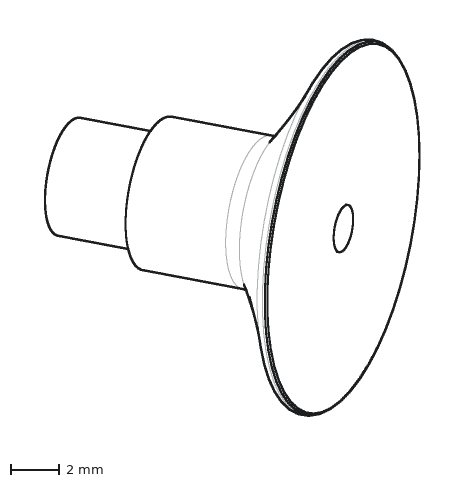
import cadquery as cq
import math


bore_radius = 2.0 / 2
stem_radius = 5.0 / 2
stem_length = 4.0
collar_radius = 6.5 / 2
collar_end_x = 8.55

neck_fillet_radius = 1.0
neck_angle = math.radians(53)
bell_end_angle = math.radians(62)

total_length = 12.46
rim_radius = 15.87 / 2
bead_radius = 0.25
bead_center_x = 12.22
bead_center_radius = rim_radius - bead_radius
bead_end_x = 12.29
bevel_break_x = 12.38
bevel_break_radius = 7.88
end_face_radius = 7.8

neck_end_x = collar_end_x + neck_fillet_radius * math.sin(neck_angle)
neck_end_radius = collar_radius + neck_fillet_radius * (1 - math.cos(neck_angle))

bell_end_x = bead_center_x - bead_radius * math.sin(bell_end_angle)
bell_end_radius = bead_center_radius + bead_radius * math.cos(bell_end_angle)
bead_end_radius = bead_center_radius + math.sqrt(bead_radius**2 - (bead_end_x - bead_center_x) ** 2)


def make_profile():
    """Half section as (X, radius) points, from the bore wall outward."""
    return (
        cq.Workplane("XY")
        .moveTo(0, bore_radius)
        .lineTo(0, stem_radius)
        .lineTo(stem_length, stem_radius)
        .lineTo(stem_length, collar_radius)
        .lineTo(collar_end_x, collar_radius)
        .tangentArcPoint((neck_end_x, neck_end_radius), relative=False)
        .tangentArcPoint((bell_end_x, bell_end_radius), relative=False)
        .threePointArc((bead_center_x, rim_radius), (bead_end_x, bead_end_radius))
        .lineTo(bevel_break_x, bevel_break_radius)
        .lineTo(total_length, end_face_radius)
        .lineTo(total_length, bore_radius)
        .close()
    )


result = make_profile().revolve(360, (0, 0, 0), (1, 0, 0))